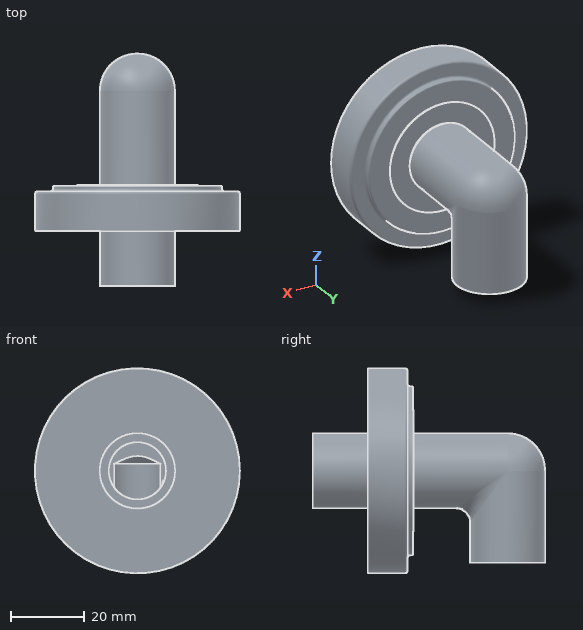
import cadquery as cq
import math

total_length = 63.5
pipe_radius = 10.3
elbow_y = total_length - pipe_radius
vertical_drop = 25.15
elbow_fillet = 3.7

inlet_radius = 7.8
inlet_floor_fillet = 0.25
outlet_radius = 6.3
inlet_depth = elbow_y - math.sqrt(inlet_radius**2 - outlet_radius**2)
outlet_cone_base = 1.9
outlet_cone_angle = 34.0
outlet_cone_height = inlet_radius * math.tan(math.radians(outlet_cone_angle))

flange_radius = 28.0
flange_front = 15.0
flange_rear = 25.9
front_rim_fillet = 0.4
rear_rim_fillet = 0.75
hole_fillet = 0.4
shoulder_radius = 23.1
shoulder_height = 1.5
shoulder_rim_fillet = 0.45
shoulder_root_fillet = 0.7
shoulder_rear = flange_rear + shoulder_height

washer_radius = 16.5
washer_thickness = 0.2


def cylinder_y(radius, start, end):
    """Cylinder around the Y axis between two Y positions."""
    return cq.Workplane("XZ", origin=(0, start, 0)).circle(radius).extrude(start - end)


def make_elbow_pipe():
    horizontal_leg = cylinder_y(pipe_radius, 0, elbow_y)
    vertical_leg = (
        cq.Workplane("XY", origin=(0, elbow_y, 0)).circle(pipe_radius).extrude(-vertical_drop)
    )
    corner = cq.Workplane("XY", origin=(0, elbow_y, 0)).sphere(pipe_radius)
    pipe = horizontal_leg.union(vertical_leg).union(corner)
    inner_corner = cq.selectors.NearestToPointSelector(
        (0, elbow_y - pipe_radius, -pipe_radius)
    )
    pipe = pipe.edges(inner_corner).fillet(elbow_fillet)

    inlet = cylinder_y(inlet_radius, 0, inlet_depth)
    inlet = inlet.faces(">Y").edges().fillet(inlet_floor_fillet)
    outlet = (
        cq.Workplane("XZ", origin=(0, elbow_y, 0))
        .moveTo(0, -vertical_drop)
        .lineTo(inlet_radius, -vertical_drop)
        .lineTo(inlet_radius, outlet_cone_base)
        .lineTo(0, outlet_cone_base + outlet_cone_height)
        .close()
        .revolve(360, (0, 0, 0), (0, 1, 0))
    )
    return pipe.cut(inlet).cut(outlet)


def make_flange():
    rim_end = flange_rear - rear_rim_fillet
    crown_start = shoulder_rear - shoulder_rim_fillet
    root_end = flange_rear + shoulder_root_fillet
    half_section = (
        cq.Workplane("XY")
        .moveTo(pipe_radius + hole_fillet, flange_front)
        .lineTo(flange_radius - front_rim_fillet, flange_front)
        .radiusArc((flange_radius, flange_front + front_rim_fillet), -front_rim_fillet)
        .lineTo(flange_radius, rim_end)
        .radiusArc((flange_radius - rear_rim_fillet, flange_rear), -rear_rim_fillet)
        .lineTo(shoulder_radius + shoulder_root_fillet, flange_rear)
        .radiusArc((shoulder_radius, root_end), shoulder_root_fillet)
        .lineTo(shoulder_radius, crown_start)
        .radiusArc((shoulder_radius - shoulder_rim_fillet, shoulder_rear), -shoulder_rim_fillet)
        .lineTo(pipe_radius, shoulder_rear)
        .lineTo(pipe_radius, flange_front + hole_fillet)
        .radiusArc((pipe_radius + hole_fillet, flange_front), -hole_fillet)
        .close()
    )
    return half_section.revolve(360, (0, 0, 0), (0, 1, 0))


def make_washer():
    washer_rear = shoulder_rear + washer_thickness
    washer = cylinder_y(washer_radius, shoulder_rear, washer_rear)
    return washer.cut(cylinder_y(pipe_radius, shoulder_rear, washer_rear))


elbow_pipe = make_elbow_pipe()
flange = make_flange()
washer = make_washer()
result = cq.Compound.makeCompound([elbow_pipe.val(), flange.val(), washer.val()])